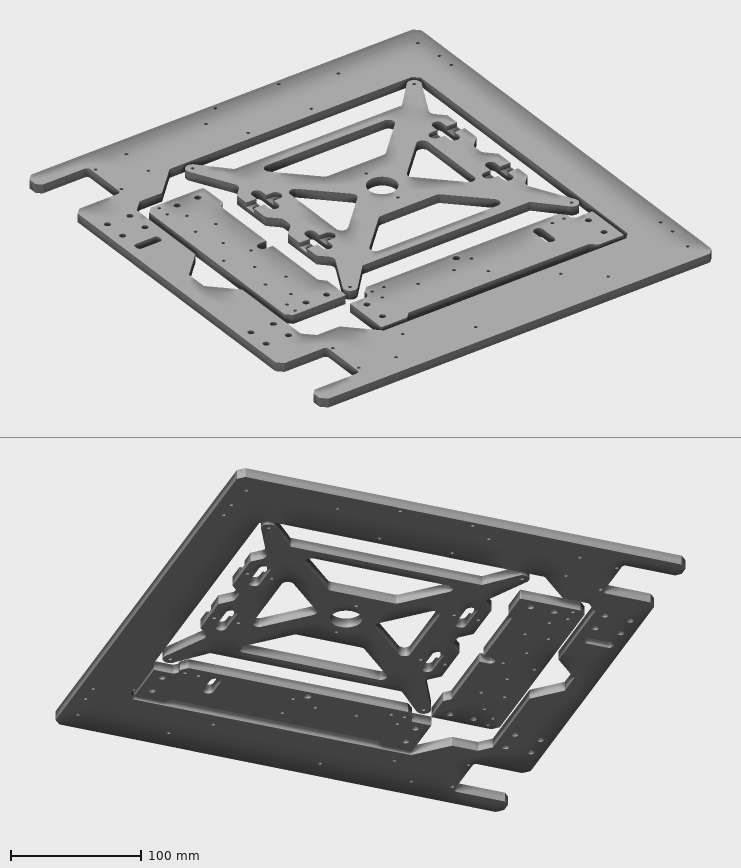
import cadquery as cq
import math

THICKNESS = 8.0
SMALL_HOLE = 3.0
BOLT_HOLE = 5.5

FRAME_X = 395.0
FRAME_Y = 370.0
FRAME_CORNER = 5.0
LEG_WIDTH = 17.0
LEG_OUTER_CORNER = 5.0
LEG_INNER_CORNER = 4.0
NOTCH_TOP_Y = -138.3
NOTCH_CORNER_R = 3.0
BASE_HALF_WIDTH = 136.2
BASE_BOTTOM_Y = -183.0
BASE_CORNER = 5.0
OPENING_HALF_WIDTH = 142.2
OPENING_TOP_Y = 145.2
OPENING_TOP_CORNER = 5.0
OPENING_TAPER_Y = -88.5
OPENING_TAPER = 24.5
OPENING_LEDGE_Y = -143.2
OPENING_LEDGE_CORNER = 9.0
DIP_HALF_WIDTH = 31.0
DIP_DEPTH = 21.0
FRAME_SLOT_CENTER = (-65.6, -163.2)
FRAME_SLOT_LENGTH = 23.0
FRAME_SLOT_WIDTH = 8.0
FRAME_SLOT_CORNER_R = 3.0
FRAME_PAIRED_HOLES = [
    (138.8, 175.0),
    (154.7, 175.0),
    (179.0, 172.0),
    (179.0, 97.0),
    (179.0, -27.9),
    (179.0, -103.0),
    (140.2, -135.2),
    (174.6, -135.2),
]
FRAME_LEFT_HOLES = [(-193.0, 50.7), (-149.7, 50.7), (-193.0, -9.0), (-149.7, -9.0), (-149.7, -103.0)]
FRAME_RIGHT_HOLES = [(154.7, 69.7), (154.7, -79.6)]
FRAME_BOLTS_X = (85.2, 105.2)
FRAME_BOLTS_Y = (-152.2, -173.2)

SPIDER_CENTER = (-28.4, 31.2)
ARM_HOLE = 104.5
ARM_TIP_R = 5.8
SPIDER_HALF_WIDTH = 85.0
SPIDER_SHOULDER_Y = 79.0
SPIDER_HALF_HEIGHT = 99.5
PAD_INNER_X = 14.8
PAD_OUTER_X = 53.0
VALLEY_DEPTH = 10.0
VALLEY_R = 6.0
NOTCH_DEPTH = 9.5
NOTCH_R = 5.0
HUB_HOLE = 25.0
HUB_SIDE_HOLE_X = 21.0
WINDOW_R = 5.0
SIDE_WINDOW_OUTER_X = 75.0
SIDE_WINDOW_INNER_X = 35.2
SIDE_WINDOW_INNER_Y = 28.0
END_WINDOW_APEX_Y = 22.3
END_WINDOW_Y = 65.0
BELT_SLOT_CENTER = (35.4, 85.2)
BELT_SLOT_LENGTH = 31.0
BELT_SLOT_WIDTH = 9.0
CLAMP_PITCH = 20.0
CLAMP_WIDTH = 10.0
CLAMP_DEPTH = 4.0

SIDE_MIDDLE_Y = 27.1
SIDE_LEFT_X = 83.4
SIDE_RIGHT_X = 132.3
HEAD_LEFT_X = 95.5
HEAD_RIGHT_X = 137.3
HEAD_TOP_Y = 114.4
HEAD_BASE_Y = 95.5
HEAD_INNER_CORNER = 3.0
SIDE_SHOULDER_CORNER = 5.0
HEAD_TAPER_Y = 85.2
HEAD_TAPER = HEAD_RIGHT_X - SIDE_RIGHT_X
SIDE_BOLTS_X = (104.2, 124.9)
SIDE_BOLTS_Y = (-104.5, 104.5)
SIDE_EDGE_HOLES_X = 91.5
SIDE_EDGE_HOLES_Y = (-90.5, -79.5, 79.5, 90.5)
SIDE_INNER_HOLES = [(97.0, -0.7), (119.4, -0.7), (102.8, -21.4), (102.8, -55.2), (102.8, -89.0)]
SIDE_DOWEL_HOLE = 6.0
SIDE_DOWEL_CENTER = (89.8, -10.0)
SIDE_SLOT_CENTER = (102.0, 64.2)
SIDE_SLOT_LENGTH = 23.0
SIDE_SLOT_WIDTH = 8.5

BED_MIDDLE_X = -10.8
BED_HALF_WIDTH = 94.7
BED_BOTTOM_Y = -137.3
BED_TOP_Y = -87.5
EAR_TOP_Y = -82.5
EAR_INNER_X = 69.6
EAR_TAPER = 5.5
EAR_CORNER_R = 1.0
BED_CORNER = 5.0
BED_SLOT_WIDTH = 8.5
BED_SLOT_END_Y = -98.5
BED_BOLTS_X = (-85.5, 85.5)
BED_BOLTS_Y = (-94.5, -113.9)
BED_HOLE_ROWS = [
    (-105.0, (-46.5, 0.0, 46.5)),
    (-116.4, (-69.0, -20.9, 20.9, 69.0)),
    (-124.3, (-46.5, 46.5)),
    (-127.5, (-90.2, -79.5, 79.5, 90.2)),
    (-130.8, (0.0,)),
]


def plate(points):
    """Flat plate with the given closed outline."""
    return cq.Workplane("XY").polyline(points).close().extrude(THICKNESS)


def prism_through(points, radius):
    """Cutter through the full thickness with all its upright edges rounded."""
    return plate(points).edges("|Z").fillet(radius)


def upright_edge(body, x, y):
    """Select the upright edge that stands at a point."""
    return body.edges(cq.selectors.NearestToPointSelector((x, y, THICKNESS / 2)))


def bevel_edges(body, size, points):
    """Bevel the upright edges that stand at the given points."""
    for x, y in points:
        body = upright_edge(body, x, y).chamfer(size)
    return body


def round_edges(body, radius, points):
    """Round the upright edges that stand at the given points."""
    for x, y in points:
        body = upright_edge(body, x, y).fillet(radius)
    return body


def drill(body, diameter, points):
    """Cut through holes of one diameter."""
    holes = cq.Workplane("XY").pushPoints(points).circle(diameter / 2).extrude(THICKNESS)
    return body.cut(holes)


def slot(center, length, width, angle=0):
    """Cutter for a through slot with round ends."""
    return cq.Workplane("XY").center(*center).slot2D(length, width, angle).extrude(THICKNESS)


def both_sides(points):
    """The points and their mirror images across X = 0."""
    return [(side * x, y) for side in (-1, 1) for x, y in points]


def four_ways(points):
    """The points and their mirror images across both axes."""
    return both_sides([(x, side * y) for side in (-1, 1) for x, y in points])


def mirrored_outline(half):
    """Closed outline from its +X half and that half's mirror image."""
    return half + [(-x, y) for x, y in reversed(half)]


def make_frame():
    outer_x = FRAME_X / 2
    outer_y = FRAME_Y / 2
    leg_inner_x = outer_x - LEG_WIDTH
    frame = plate(
        mirrored_outline(
            [
                (outer_x, outer_y),
                (outer_x, -outer_y),
                (leg_inner_x, -outer_y),
                (leg_inner_x, NOTCH_TOP_Y),
                (BASE_HALF_WIDTH, NOTCH_TOP_Y),
                (BASE_HALF_WIDTH, BASE_BOTTOM_Y),
            ]
        )
    )
    notch_corners = [(leg_inner_x, NOTCH_TOP_Y), (BASE_HALF_WIDTH, NOTCH_TOP_Y)]
    frame = bevel_edges(frame, FRAME_CORNER, both_sides([(outer_x, outer_y)]))
    frame = bevel_edges(frame, LEG_OUTER_CORNER, both_sides([(outer_x, -outer_y)]))
    frame = bevel_edges(frame, LEG_INNER_CORNER, both_sides([(leg_inner_x, -outer_y)]))
    frame = round_edges(frame, NOTCH_CORNER_R, both_sides(notch_corners))
    frame = bevel_edges(frame, BASE_CORNER, both_sides([(BASE_HALF_WIDTH, BASE_BOTTOM_Y)]))
    frame = frame.cut(make_opening())

    slot_x, slot_y = FRAME_SLOT_CENTER
    frame_slot = (
        cq.Workplane("XY")
        .center(slot_x, slot_y)
        .rect(FRAME_SLOT_WIDTH, FRAME_SLOT_LENGTH)
        .extrude(THICKNESS)
        .edges("|Z")
        .fillet(FRAME_SLOT_CORNER_R)
    )
    frame = frame.cut(frame_slot)
    small_holes = both_sides(FRAME_PAIRED_HOLES) + FRAME_LEFT_HOLES + FRAME_RIGHT_HOLES
    frame = drill(frame, SMALL_HOLE, small_holes)
    return drill(frame, BOLT_HOLE, both_sides([(x, y) for x in FRAME_BOLTS_X for y in FRAME_BOLTS_Y]))


def make_opening():
    """Cutter for the frame's opening, with the dip in its lower ledge."""
    ledge_x = OPENING_HALF_WIDTH - OPENING_TAPER
    dip_floor_x = DIP_HALF_WIDTH - DIP_DEPTH
    dip_floor_y = OPENING_LEDGE_Y - DIP_DEPTH
    opening = plate(
        mirrored_outline(
            [
                (OPENING_HALF_WIDTH, OPENING_TOP_Y),
                (OPENING_HALF_WIDTH, OPENING_TAPER_Y),
                (ledge_x, OPENING_TAPER_Y - OPENING_TAPER),
                (ledge_x, OPENING_LEDGE_Y),
                (DIP_HALF_WIDTH, OPENING_LEDGE_Y),
                (dip_floor_x, dip_floor_y),
            ]
        )
    )
    opening = bevel_edges(opening, OPENING_TOP_CORNER, both_sides([(OPENING_HALF_WIDTH, OPENING_TOP_Y)]))
    return bevel_edges(opening, OPENING_LEDGE_CORNER, both_sides([(ledge_x, OPENING_LEDGE_Y)]))


def arm_tangent(point, side):
    """Point where a line from `point` touches the arm tip's circle, on one side (-1 or 1) of the arm."""
    dx = point[0] - ARM_HOLE
    dy = point[1] - ARM_HOLE
    angle = math.atan2(dy, dx) + side * math.acos(ARM_TIP_R / math.hypot(dx, dy))
    return (ARM_HOLE + ARM_TIP_R * math.cos(angle), ARM_HOLE + ARM_TIP_R * math.sin(angle))


def make_spider_blank():
    """Spider outline: one quarter is drawn, then mirrored across both axes."""
    notch_y = SPIDER_HALF_HEIGHT - NOTCH_DEPTH
    shoulder = (SPIDER_HALF_WIDTH, SPIDER_SHOULDER_Y)
    valley = (PAD_OUTER_X + VALLEY_DEPTH, SPIDER_HALF_HEIGHT - VALLEY_DEPTH)
    notch_floor = (PAD_INNER_X - NOTCH_DEPTH, notch_y)
    tip = ARM_HOLE + ARM_TIP_R / math.sqrt(2)
    quarter = (
        cq.Workplane("XY")
        .lineTo(SPIDER_HALF_WIDTH, 0)
        .lineTo(*shoulder)
        .lineTo(*arm_tangent(shoulder, 1))
        .threePointArc((tip, tip), arm_tangent(valley, -1))
        .lineTo(*valley)
        .lineTo(PAD_OUTER_X, SPIDER_HALF_HEIGHT)
        .lineTo(PAD_INNER_X, SPIDER_HALF_HEIGHT)
        .lineTo(*notch_floor)
        .lineTo(0, notch_y)
        .close()
        .extrude(THICKNESS)
    )
    half = quarter.union(quarter.mirror("XZ"))
    blank = half.union(half.mirror("YZ")).clean()
    blank = round_edges(blank, VALLEY_R, four_ways([valley]))
    return round_edges(blank, NOTCH_R, four_ways([notch_floor]))


def make_windows():
    """The two side windows and the two end windows around the spider's hub."""
    taper = SIDE_WINDOW_OUTER_X - SIDE_WINDOW_INNER_X
    corner_y = SIDE_WINDOW_INNER_Y + taper
    side_window = prism_through(
        [
            (SIDE_WINDOW_OUTER_X, corner_y),
            (SIDE_WINDOW_INNER_X, SIDE_WINDOW_INNER_Y),
            (SIDE_WINDOW_INNER_X, -SIDE_WINDOW_INNER_Y),
            (SIDE_WINDOW_OUTER_X, -corner_y),
        ],
        WINDOW_R,
    )
    corner_x = END_WINDOW_Y - END_WINDOW_APEX_Y
    end_window = prism_through(
        [(0, END_WINDOW_APEX_Y), (corner_x, END_WINDOW_Y), (-corner_x, END_WINDOW_Y)],
        WINDOW_R,
    )
    return [side_window, side_window.mirror("YZ"), end_window, end_window.mirror("XZ")]


def make_clamp_recess(side_x, side_y):
    """Shallow recess across a belt slot, open at the spider's edge and round at its inner end."""
    x = side_x * BELT_SLOT_CENTER[0]
    inner_y = side_y * (BELT_SLOT_CENTER[1] - CLAMP_PITCH / 2)
    edge_y = side_y * SPIDER_HALF_HEIGHT
    half_width = CLAMP_WIDTH / 2
    return (
        cq.Workplane("XY", origin=(0, 0, THICKNESS - CLAMP_DEPTH))
        .moveTo(x - half_width, edge_y)
        .lineTo(x - half_width, inner_y)
        .threePointArc((x, inner_y - side_y * half_width), (x + half_width, inner_y))
        .lineTo(x + half_width, edge_y)
        .close()
        .extrude(CLAMP_DEPTH)
    )


def make_spider():
    spider = make_spider_blank()
    for window in make_windows():
        spider = spider.cut(window)
    for side_x in (-1, 1):
        for side_y in (-1, 1):
            center = (side_x * BELT_SLOT_CENTER[0], side_y * BELT_SLOT_CENTER[1])
            spider = spider.cut(make_clamp_recess(side_x, side_y))
            spider = spider.cut(slot(center, BELT_SLOT_LENGTH, BELT_SLOT_WIDTH))

    slot_x, slot_y = BELT_SLOT_CENTER
    clamp_holes = [(slot_x, slot_y - CLAMP_PITCH / 2), (slot_x, slot_y + CLAMP_PITCH / 2)]
    spider = drill(spider, SMALL_HOLE, four_ways(clamp_holes + [(ARM_HOLE, ARM_HOLE)]))
    spider = drill(spider, SMALL_HOLE, both_sides([(HUB_SIDE_HOLE_X, 0)]))
    spider = drill(spider, HUB_HOLE, [(0, 0)])
    return spider.translate((*SPIDER_CENTER, 0))


def make_side_plate():
    upper = [
        (SIDE_LEFT_X, HEAD_BASE_Y),
        (HEAD_LEFT_X, HEAD_BASE_Y),
        (HEAD_LEFT_X, HEAD_TOP_Y),
        (HEAD_RIGHT_X, HEAD_TOP_Y),
        (HEAD_RIGHT_X, HEAD_TAPER_Y + HEAD_TAPER),
        (SIDE_RIGHT_X, HEAD_TAPER_Y),
    ]
    side_plate = plate(upper + [(x, -y) for x, y in reversed(upper)])
    for side in (-1, 1):
        base_y = side * HEAD_BASE_Y
        side_plate = bevel_edges(side_plate, SIDE_SHOULDER_CORNER, [(SIDE_LEFT_X, base_y)])
        side_plate = bevel_edges(side_plate, HEAD_INNER_CORNER, [(HEAD_LEFT_X, base_y)])

    side_plate = side_plate.cut(slot(SIDE_SLOT_CENTER, SIDE_SLOT_LENGTH, SIDE_SLOT_WIDTH))
    edge_holes = [(SIDE_EDGE_HOLES_X, y) for y in SIDE_EDGE_HOLES_Y]
    side_plate = drill(side_plate, SMALL_HOLE, edge_holes + SIDE_INNER_HOLES)
    side_plate = drill(side_plate, BOLT_HOLE, [(x, y) for x in SIDE_BOLTS_X for y in SIDE_BOLTS_Y])
    side_plate = drill(side_plate, SIDE_DOWEL_HOLE, [SIDE_DOWEL_CENTER])
    return side_plate.translate((0, SIDE_MIDDLE_Y, 0))


def make_bed_plate():
    bed = plate(
        mirrored_outline(
            [
                (EAR_INNER_X - EAR_TAPER, BED_TOP_Y),
                (EAR_INNER_X, EAR_TOP_Y),
                (BED_HALF_WIDTH, EAR_TOP_Y),
                (BED_HALF_WIDTH, BED_BOTTOM_Y + BED_CORNER),
                (BED_HALF_WIDTH - BED_CORNER, BED_BOTTOM_Y),
            ]
        )
    )
    bed = round_edges(bed, EAR_CORNER_R, both_sides([(BED_HALF_WIDTH, EAR_TOP_Y)]))
    slot_length = 2 * (BED_TOP_Y - BED_SLOT_END_Y)
    bed = bed.cut(slot((0, BED_TOP_Y), slot_length, BED_SLOT_WIDTH, 90))
    bed = drill(bed, SMALL_HOLE, [(x, y) for y, row in BED_HOLE_ROWS for x in row])
    bed = drill(bed, BOLT_HOLE, [(x, y) for x in BED_BOLTS_X for y in BED_BOLTS_Y])
    return bed.translate((BED_MIDDLE_X, 0, 0))


frame = make_frame()
spider = make_spider()
side_plate = make_side_plate()
bed_plate = make_bed_plate()
result = cq.Compound.makeCompound([frame.val(), spider.val(), side_plate.val(), bed_plate.val()])